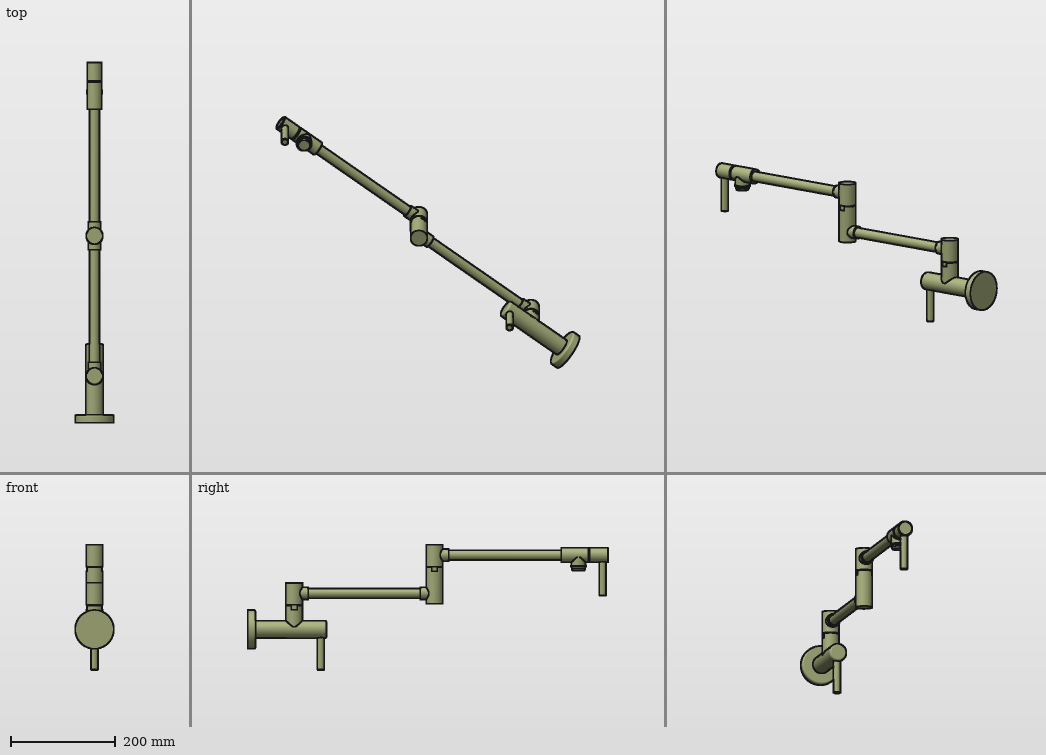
import cadquery as cq

flange_diameter = 74.5
flange_thickness = 15.0
flange_edge_fillet = 3.5

valve_diameter = 34.0
valve_end_y = 151.0
valve_edge_fillet = 4.0

post_diameter = 32.5
post_end_to_arm = 20.0
base_post_y = 89.0
elbow_post_y = 357.0
pocket_width = 11.0
pocket_height = 9.0
pocket_depth = 2.0
joint_gap = 1.5
joint_gap_depth = 1.0
joint_below_arm = 22.0

arm_diameter = 19.0
collar_diameter = 24.0
collar_reach = 27.0
lower_arm_z = 69.0
upper_arm_z = 142.0

head_diameter = 28.0
head_start_y = 599.0
head_end_y = 689.0
head_edge_chamfer = 1.5
head_groove_y = 652.0
head_groove_width = 3.0
head_groove_depth = 1.0

nozzle_y = 632.0
nozzle_diameter = 27.5
lip_diameter = 29.5
tip_diameter = 26.0
mouth_diameter = 22.0
lip_top_z = 121.0
lip_bottom_z = 119.0
tip_taper_z = 116.0
mouth_z = 112.0

lever_diameter = 14.0
lever_edge_chamfer = 1.5
valve_lever_y = 140.0
valve_lever_end_z = -78.0
head_lever_y = 678.0
head_lever_end_z = 64.0


def cylinder_y(diameter, start_y, end_y, z):
    """Cylinder parallel to Y at height z."""
    base = cq.Workplane("XZ", origin=(0, start_y, z))
    return base.circle(diameter / 2).extrude(start_y - end_y)


def cylinder_z(diameter, y, bottom_z, top_z):
    """Vertical cylinder standing at the given Y."""
    base = cq.Workplane("XY", origin=(0, y, bottom_z))
    return base.circle(diameter / 2).extrude(top_z - bottom_z)


def swivel_post(y, bottom_z, arm_z):
    """Post with a groove at its swivel joint and a stop pocket on each X side below it."""
    radius = post_diameter / 2
    joint_z = arm_z - joint_below_arm
    post = cylinder_z(post_diameter, y, bottom_z, arm_z + post_end_to_arm)

    gap_core_diameter = post_diameter - 2 * joint_gap_depth
    gap = cylinder_z(post_diameter, y, joint_z - joint_gap, joint_z)
    gap = gap.cut(cylinder_z(gap_core_diameter, y, joint_z - joint_gap, joint_z))
    post = post.cut(gap)

    for side in (-1, 1):
        pocket = cq.Workplane("XY").box(2 * pocket_depth, pocket_width, pocket_height)
        post = post.cut(pocket.translate((side * radius, y, joint_z - pocket_height / 2)))
    return post


def lever(y, top_z, end_z):
    """Round lever hanging from top_z, with a chamfered lower end."""
    return cylinder_z(lever_diameter, y, end_z, top_z).faces("<Z").chamfer(lever_edge_chamfer)


def outlet_head():
    """Head cylinder with a chamfered free end and a shallow groove around it."""
    head = cylinder_y(head_diameter, head_start_y, head_end_y, upper_arm_z)
    head = head.faces(">Y").chamfer(head_edge_chamfer)
    groove_start = head_groove_y - head_groove_width / 2
    groove_end = head_groove_y + head_groove_width / 2
    groove = cylinder_y(head_diameter, groove_start, groove_end, upper_arm_z)
    groove_core_diameter = head_diameter - 2 * head_groove_depth
    groove = groove.cut(cylinder_y(groove_core_diameter, groove_start, groove_end, upper_arm_z))
    return head.cut(groove)


def nozzle():
    """Revolved nozzle: neck, projecting lip and tapered tip."""
    profile = [
        (0, upper_arm_z),
        (nozzle_diameter / 2, upper_arm_z),
        (nozzle_diameter / 2, lip_top_z),
        (lip_diameter / 2, lip_top_z),
        (lip_diameter / 2, lip_bottom_z),
        (tip_diameter / 2, lip_bottom_z),
        (tip_diameter / 2, tip_taper_z),
        (mouth_diameter / 2, mouth_z),
        (0, mouth_z),
    ]
    outline = cq.Workplane("XZ", origin=(0, nozzle_y, 0)).polyline(profile).close()
    return outline.revolve(360, (0, 0, 0), (0, 1, 0))


flange = cylinder_y(flange_diameter, 0, flange_thickness, 0)
flange = flange.faces(">Y").edges().fillet(flange_edge_fillet)
valve_body = cylinder_y(valve_diameter, 0, valve_end_y, 0)
valve_body = valve_body.faces(">Y").edges().fillet(valve_edge_fillet)

parts = [
    valve_body,
    swivel_post(base_post_y, 0, lower_arm_z),
    swivel_post(elbow_post_y, lower_arm_z - post_end_to_arm, upper_arm_z),
    cylinder_y(collar_diameter, base_post_y, base_post_y + collar_reach, lower_arm_z),
    cylinder_y(arm_diameter, base_post_y, elbow_post_y, lower_arm_z),
    cylinder_y(collar_diameter, elbow_post_y - collar_reach, elbow_post_y, lower_arm_z),
    cylinder_y(collar_diameter, elbow_post_y, elbow_post_y + collar_reach, upper_arm_z),
    cylinder_y(arm_diameter, elbow_post_y, head_start_y, upper_arm_z),
    outlet_head(),
    nozzle(),
    lever(valve_lever_y, 0, valve_lever_end_z),
    lever(head_lever_y, upper_arm_z, head_lever_end_z),
]

result = flange
for part in parts:
    result = result.union(part)